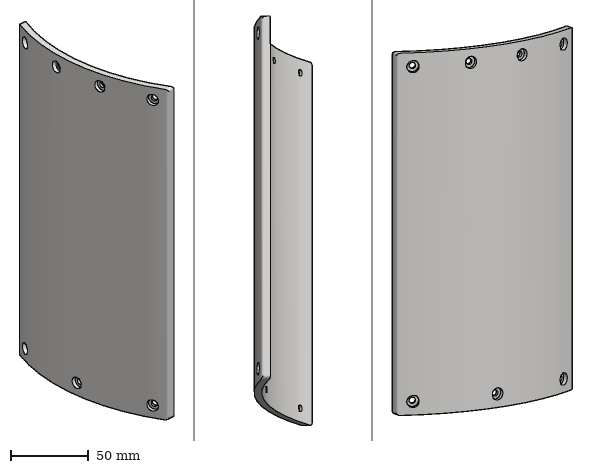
import cadquery as cq
import math

width = 133.0
depth = 21.4
height = 240.0
thickness = 5.0

half_width = width / 2
inner_rise = depth - thickness
inner_radius = (half_width**2 + inner_rise**2) / (2 * inner_rise)
outer_radius = inner_radius + thickness

edge_radius = 2.0

hole_diameter = 4.0
counterbore_diameter = 8.0
counterbore_depth = 3.0
hole_edge_distance = 9.0
top_hole_angles = (-22.5, -7.5, 7.5, 22.5)
bottom_hole_angles = (-22.5, 0, 22.5)


def make_panel():
    """Concentric arcs about the Z axis, cut off by flat sides parallel to Y."""
    inner_end_y = -math.sqrt(inner_radius**2 - half_width**2)
    outer_end_y = -math.sqrt(outer_radius**2 - half_width**2)
    return (
        cq.Workplane("XY")
        .moveTo(-half_width, inner_end_y)
        .threePointArc((0, -inner_radius), (half_width, inner_end_y))
        .lineTo(half_width, outer_end_y)
        .threePointArc((0, -outer_radius), (-half_width, outer_end_y))
        .close()
        .extrude(height)
    )


def round_side_faces(panel):
    """Round each side face along its top, bottom and outer edges."""
    for side in ("<X", ">X"):
        panel = panel.faces(side).edges("|Y or <Y").fillet(edge_radius)
    return panel


def radial_cylinder(diameter, inner_end, length, angle, z):
    """Cylinder pointing outward along the radius at an angle from -Y."""
    direction = cq.Vector(math.sin(math.radians(angle)), -math.cos(math.radians(angle)), 0)
    start = direction * inner_end + cq.Vector(0, 0, z)
    return cq.Solid.makeCylinder(diameter / 2, length, start, direction)


def cut_screw_hole(panel, angle, z):
    through_hole = radial_cylinder(
        hole_diameter, inner_radius - thickness, 3 * thickness, angle, z
    )
    counterbore = radial_cylinder(
        counterbore_diameter, outer_radius - counterbore_depth, 2 * counterbore_depth, angle, z
    )
    return panel.cut(through_hole).cut(counterbore)


result = round_side_faces(make_panel())
for hole_angle in top_hole_angles:
    result = cut_screw_hole(result, hole_angle, height - hole_edge_distance)
for hole_angle in bottom_hole_angles:
    result = cut_screw_hole(result, hole_angle, hole_edge_distance)